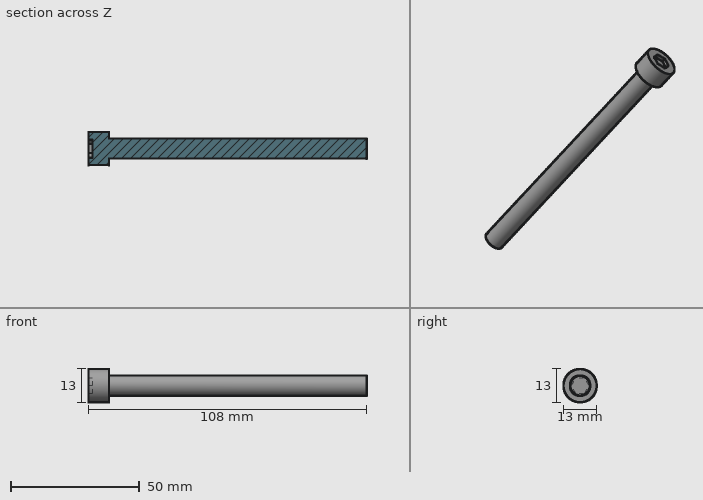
import cadquery as cq
import math

head_diameter = 13.0
head_length = 8.0
shank_diameter = 8.0
shank_length = 100.0
tip_chamfer = 0.2
socket_across_flats = 6.0
socket_depth = 1.5

socket_across_corners = socket_across_flats / math.cos(math.pi / 6)


def make_head():
    """Plain cylindrical head on the -X side of the bearing face."""
    return cq.Workplane("YZ").circle(head_diameter / 2).extrude(-head_length)


def make_shank():
    """Shank running toward +X, chamfered at its free end."""
    shank = cq.Workplane("YZ").circle(shank_diameter / 2).extrude(shank_length)
    return shank.faces(">X").chamfer(tip_chamfer)


def make_socket():
    """Hexagonal key socket opening at the head's end face, corners along Y."""
    return (
        cq.Workplane("YZ", origin=(-head_length, 0, 0))
        .polygon(6, socket_across_corners)
        .extrude(socket_depth)
    )


result = make_head().union(make_shank()).cut(make_socket())